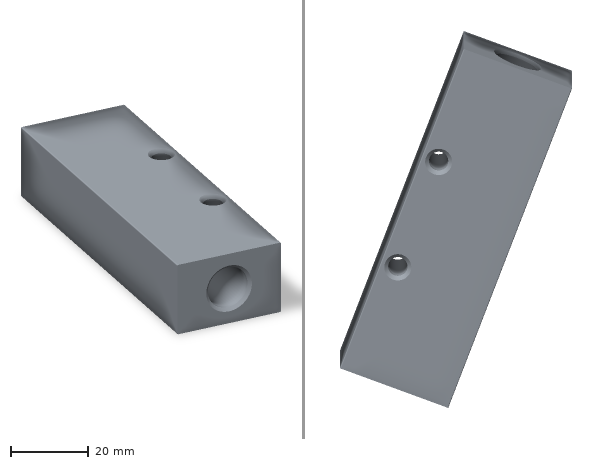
import cadquery as cq

length = 91.0
width = 30.0
height = 20.0
edge_radius = 0.3

bore_diameter = 11.5
bore_mouth_diameter = 13.2

hole_diameter = 5.0
hole_mouth_diameter = 7.0
hole_spacing = 30.0
hole_edge_distance = 4.55
hole_y = width / 2 - hole_edge_distance


def countersunk_hole(plane, depth, diameter, mouth_diameter):
    """Through hole centred on the plane, with a 45 degree countersink at each end."""
    sink = (mouth_diameter - diameter) / 2
    radius = diameter / 2
    mouth_radius = mouth_diameter / 2
    half = depth / 2
    return (
        cq.Workplane(plane)
        .moveTo(0, -half)
        .lineTo(mouth_radius, -half)
        .lineTo(radius, -half + sink)
        .lineTo(radius, half - sink)
        .lineTo(mouth_radius, half)
        .lineTo(0, half)
        .close()
        .revolve(360, (0, 0), (0, 1))
    )


block = cq.Workplane("XY").box(length, width, height)
block = block.edges("|X").fillet(edge_radius)

bore_plane = cq.Plane(origin=(0, 0, 0), xDir=(0, 1, 0), normal=(0, 0, -1))
result = block.cut(countersunk_hole(bore_plane, length, bore_diameter, bore_mouth_diameter))

mounting_hole = countersunk_hole("XZ", height, hole_diameter, hole_mouth_diameter)
for side in (-1, 1):
    result = result.cut(mounting_hole.translate((side * hole_spacing / 2, hole_y, 0)))